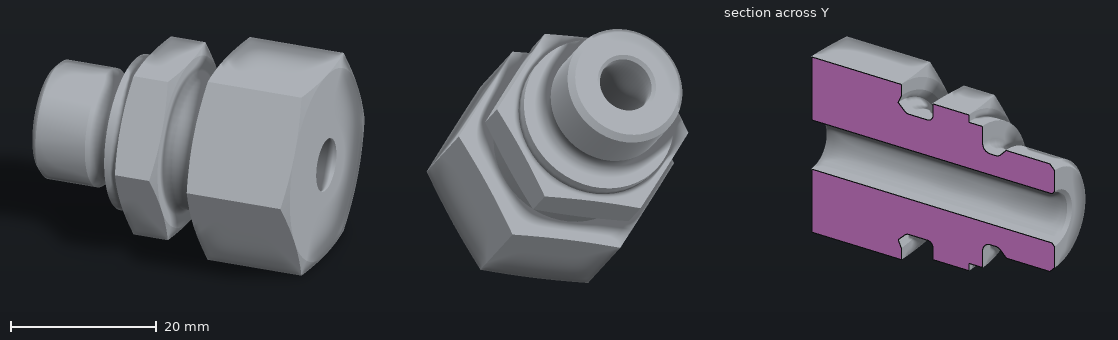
import cadquery as cq
import math

total_length = 40.5

thread_diameter = 16.65
tip_diameter = 15.0
tip_chamfer = (thread_diameter - tip_diameter) / 2
thread_end = 8.1

undercut_diameter = 14.05
undercut_blend_start = 9.07
undercut_floor_start = 9.85
undercut_floor_end = 10.77
thread_runout_angle = 45.0

collar_diameter = 21.8
collar_start = 12.0

body_hex_start = 14.25
body_hex_end = 20.35
body_hex_across_flats = 24.0

neck_diameter = 18.6
neck_floor_start = 21.22
neck_floor_end = 24.35
neck_cone_start = 25.0
neck_blend_angle = 45.0

nut_start = 25.5
nut_across_flats = 27.0

countersink_diameter = 23.45
countersink_bottom_diameter = 21.15
countersink_depth = 0.53

hex_chamfer_angle = 15.0

bore_diameter = 7.5
mouth_diameter = 8.45


def make_turned_body():
    """Revolve the spigot, undercut, collar and neck as one profile."""
    thread_radius = thread_diameter / 2
    undercut_radius = undercut_diameter / 2
    collar_radius = collar_diameter / 2
    neck_radius = neck_diameter / 2

    blend_length = undercut_floor_start - undercut_blend_start
    runout_slope = math.radians(thread_runout_angle)
    blend_rise = blend_length * math.tan(runout_slope / 2)

    collar_fillet = collar_start - undercut_floor_end

    neck_fillet = neck_floor_start - body_hex_end

    cone_slope = math.radians(neck_blend_angle)
    cone_blend_length = neck_cone_start - neck_floor_end
    cone_base_radius = neck_radius + cone_blend_length * math.tan(cone_slope / 2)
    cone_top_radius = countersink_bottom_diameter / 2
    cone_end = nut_start + countersink_depth

    profile = (
        cq.Workplane("XY")
        .lineTo(0, tip_diameter / 2)
        .lineTo(tip_chamfer, thread_radius)
        .lineTo(thread_end, thread_radius)
        .lineTo(undercut_blend_start, undercut_radius + blend_rise)
        .tangentArcPoint((undercut_floor_start, undercut_radius), relative=False)
        .lineTo(undercut_floor_end, undercut_radius)
        .tangentArcPoint((collar_start, undercut_radius + collar_fillet), relative=False)
        .lineTo(collar_start, collar_radius)
        .lineTo(body_hex_end, collar_radius)
        .lineTo(body_hex_end, neck_radius + neck_fillet)
        .tangentArcPoint((neck_floor_start, neck_radius), relative=False)
        .lineTo(neck_floor_end, neck_radius)
        .tangentArcPoint((neck_cone_start, cone_base_radius), relative=False)
        .lineTo(cone_end, cone_top_radius)
        .lineTo(total_length, cone_top_radius)
        .lineTo(total_length, 0)
        .close()
    )
    return profile.revolve(360, (0, 0, 0), (1, 0, 0))


def make_hexagon(start, end, across_flats):
    """Hexagon with corners on Y and flats on Z, its corners chamfered at both ends."""
    across_corners = across_flats / math.cos(math.radians(30))
    flat_radius = across_flats / 2
    corner_radius = across_corners / 2
    chamfer_length = (corner_radius - flat_radius) * math.tan(math.radians(hex_chamfer_angle))

    prism = (
        cq.Workplane("YZ", origin=(start, 0, 0))
        .polygon(6, across_corners)
        .extrude(end - start)
    )
    envelope = (
        cq.Workplane("XY")
        .moveTo(start, 0)
        .lineTo(start, flat_radius)
        .lineTo(start + chamfer_length, corner_radius)
        .lineTo(end - chamfer_length, corner_radius)
        .lineTo(end, flat_radius)
        .lineTo(end, 0)
        .close()
        .revolve(360, (0, 0, 0), (1, 0, 0))
    )
    return prism.intersect(envelope)


def make_countersink():
    """Shallow conical recess in the nut face next to the neck."""
    return (
        cq.Workplane("XY")
        .moveTo(nut_start, 0)
        .lineTo(nut_start, countersink_diameter / 2)
        .lineTo(nut_start + countersink_depth, countersink_bottom_diameter / 2)
        .lineTo(nut_start + countersink_depth, 0)
        .close()
        .revolve(360, (0, 0, 0), (1, 0, 0))
    )


def make_bore():
    """Through bore whose spigot end opens with a 45 degree chamfer."""
    mouth_chamfer = (mouth_diameter - bore_diameter) / 2
    return (
        cq.Workplane("XY")
        .lineTo(0, mouth_diameter / 2)
        .lineTo(mouth_chamfer, bore_diameter / 2)
        .lineTo(total_length, bore_diameter / 2)
        .lineTo(total_length, 0)
        .close()
        .revolve(360, (0, 0, 0), (1, 0, 0))
    )


body_hexagon = make_hexagon(body_hex_start, body_hex_end, body_hex_across_flats)
union_nut = make_hexagon(nut_start, total_length, nut_across_flats).cut(make_countersink())

result = make_turned_body().union(body_hexagon).union(union_nut).cut(make_bore())